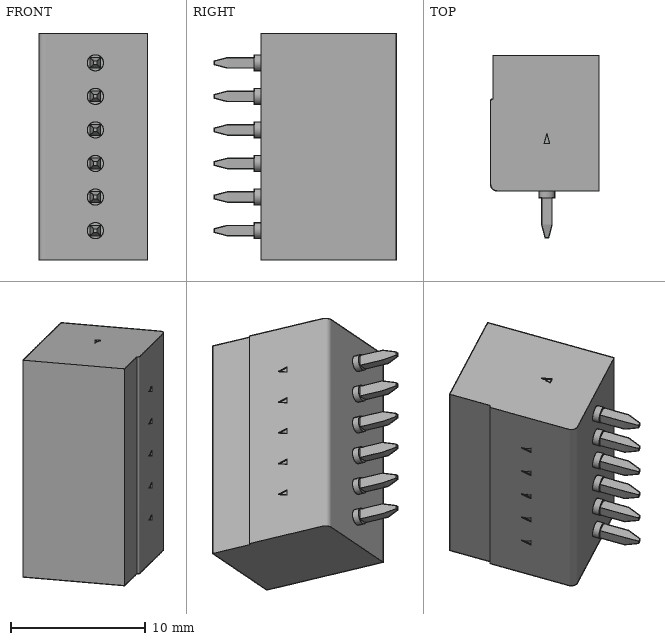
import cadquery as cq

height = 16.9
width = 8.1
total_depth = 13.6

pin_length = 3.5
housing_depth = total_depth - pin_length
step_width = 0.19
step_depth = 3.25
step_radius = 0.15
front_corner_radius = 0.5

pin_count = 6
pin_pitch = 2.5
pin_to_left_side = 4.2
pin_side = 0.8
collar_diameter = 1.2
collar_length = 0.5
tip_length = 1.0
tip_side = 0.27

mark_to_front = 3.55
mark_length = 0.75
mark_base = 0.4
mark_depth = 0.1

left_x = -width / 2
right_x = width / 2
front_y = 0.0
back_y = housing_depth
top_z = height / 2
pin_x = left_x + pin_to_left_side
first_pin_z = -pin_pitch * (pin_count - 1) / 2
pin_heights = [first_pin_z + i * pin_pitch for i in range(pin_count)]


def make_housing():
    """Block with a shallow step on the rear of the left side and rounded left corners."""
    step_y = back_y - step_depth
    profile = [
        (left_x, front_y),
        (right_x, front_y),
        (right_x, back_y),
        (left_x + step_width, back_y),
        (left_x + step_width, step_y),
        (left_x, step_y),
    ]
    block = cq.Workplane("XY").workplane(offset=-top_z).polyline(profile).close().extrude(height)
    block = block.edges(cq.NearestToPointSelector((left_x, front_y, 0))).fillet(front_corner_radius)
    return block.edges(cq.NearestToPointSelector((left_x, step_y, 0))).fillet(step_radius)


def front_plane(distance, z):
    """Plane facing -Y, centred on a pin, at a distance ahead of the front face."""
    return cq.Workplane(cq.Plane((pin_x, front_y - distance, z), (1, 0, 0), (0, -1, 0)))


def make_pin(z):
    """Round collar, square shank and tapered square tip."""
    shank_length = pin_length - tip_length
    collar = front_plane(0, z).circle(collar_diameter / 2).extrude(collar_length)
    shank = front_plane(0, z).rect(pin_side, pin_side).extrude(shank_length)
    tip = (
        front_plane(shank_length, z)
        .rect(pin_side, pin_side)
        .workplane(offset=tip_length)
        .rect(tip_side, tip_side)
        .loft(ruled=True)
    )
    return collar.union(shank).union(tip)


def make_mark(plane):
    """Triangular cutter whose apex points along +Y; the plane's local Y is the global Y."""
    base_y = mark_to_front
    corners = [(-mark_base / 2, base_y), (mark_base / 2, base_y), (0, base_y + mark_length)]
    return cq.Workplane(plane).polyline(corners).close().extrude(-mark_depth)


result = make_housing()

for pin_z in pin_heights:
    result = result.union(make_pin(pin_z))

result = result.cut(make_mark(cq.Plane((pin_x, front_y, top_z), (1, 0, 0), (0, 0, 1))))

for pin_z in pin_heights[:-1]:
    mark_z = pin_z + pin_pitch / 2
    result = result.cut(make_mark(cq.Plane((left_x, front_y, mark_z), (0, 0, 1), (-1, 0, 0))))